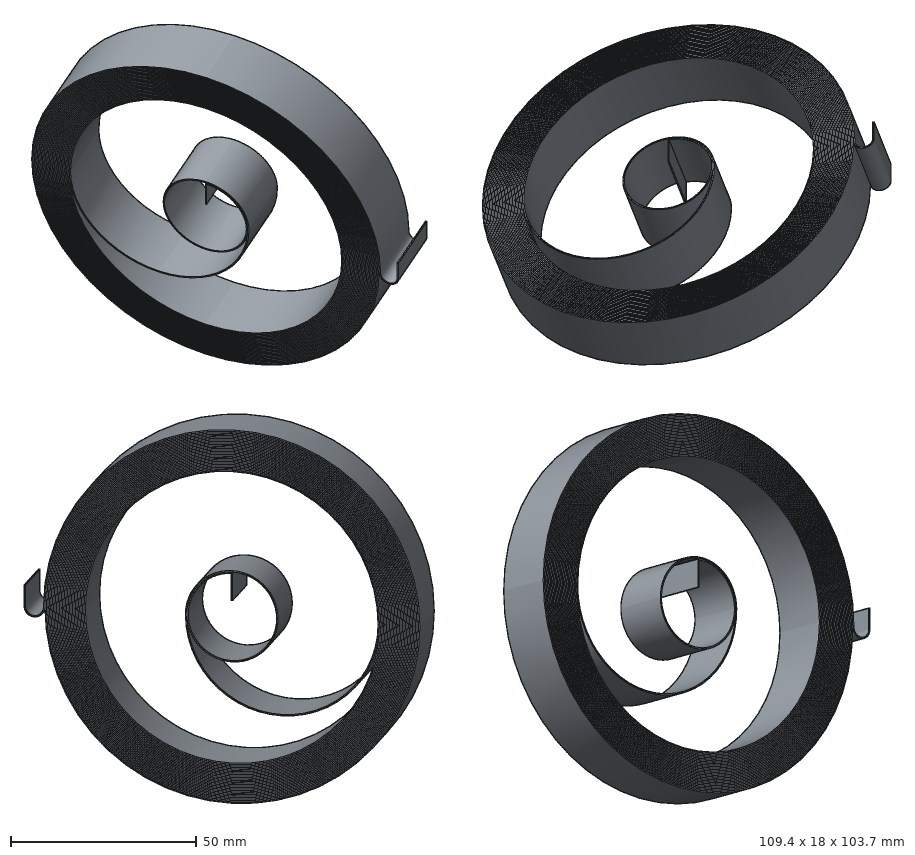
import cadquery as cq
import math

overall_length = 109.4
strip_width = 18.0
strip_thickness = 0.39
turn_gap = 0.0062
hub_radius = 12.3
coil_inner_radius = 40.6
hub_turns = 1.25
coil_turns = 28.5
tab_length = 7.8
hook_leg_length = 5.9

half_thickness = strip_thickness / 2
turn_pitch = strip_thickness + turn_gap


def spiral_radii(first_radius, turns):
    """Radii of the quarter arcs of a spiral that grows by one pitch per turn."""
    return [first_radius + turn_pitch * i / 4 for i in range(round(turns * 4))]


def polar(center, radius, angle):
    """Point at a distance and an angle in degrees from a centre."""
    radians = math.radians(angle)
    return cq.Vector(
        center.x + radius * math.cos(radians),
        center.y + radius * math.sin(radians),
    )


def quarter_arc(center, radius, start_angle, sweep):
    angles = (start_angle, start_angle + sweep / 2, start_angle + sweep)
    return cq.Edge.makeThreePointArc(*[polar(center, radius, a) for a in angles])


hub_radii = spiral_radii(hub_radius, hub_turns)
link_radius = (hub_radii[-1] + coil_inner_radius) / 2
coil_radii = spiral_radii(coil_inner_radius, coil_turns)

inner_side = []
outer_side = []
arc_end = cq.Vector(0, hub_radius)
angle = 90
leftmost_x = 0
for radius in hub_radii + [link_radius, link_radius] + coil_radii:
    center = polar(arc_end, -radius, angle)
    inner_side.append(quarter_arc(center, radius - half_thickness, angle, -90))
    outer_side.append(quarter_arc(center, radius + half_thickness, angle, -90))
    angle -= 90
    arc_end = polar(center, radius, angle)
    leftmost_x = min(leftmost_x, arc_end.x - half_thickness)

leg_x = leftmost_x + overall_length - half_thickness
hook_radius = (leg_x - arc_end.x) / 2
hook_center = cq.Vector(arc_end.x + hook_radius, arc_end.y)
for side, offset in ((inner_side, half_thickness), (outer_side, -half_thickness)):
    for start_angle in (180, 270):
        side.append(quarter_arc(hook_center, hook_radius + offset, start_angle, 90))
    leg_start = cq.Vector(leg_x + offset, arc_end.y)
    side.append(cq.Edge.makeLine(leg_start, leg_start + cq.Vector(0, hook_leg_length)))

hub_end = cq.Edge.makeLine(inner_side[0].startPoint(), outer_side[0].startPoint())
hook_end = cq.Edge.makeLine(inner_side[-1].endPoint(), outer_side[-1].endPoint())
outline = cq.Wire.assembleEdges(inner_side + [hook_end] + outer_side[::-1] + [hub_end])
strip = cq.Workplane(cq.Solid.extrudeLinear(outline, [], cq.Vector(0, 0, strip_width)))

tab = (
    cq.Workplane("XY")
    .center(0, hub_radius - tab_length / 2)
    .rect(strip_thickness, tab_length)
    .extrude(strip_width)
)

spring = strip.union(tab, clean=False)
result = spring.rotate((0, 0, 0), (1, 0, 0), 90).translate((0, strip_width, 0))